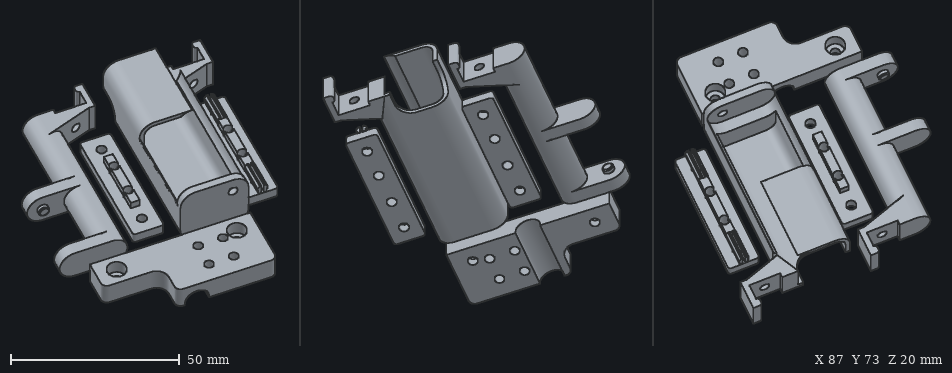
import cadquery as cq
bar_height = 10.0
round_radius = bar_height / 2
hole_diameter = 3.0
overshoot = 0.9

hook_reach = 6.0
hook_rise = 12.0
finger_thickness = 2.0
lobe_width = 2.5
lobe_depth = 1.0
web_offset = 1.5
web_far_side = 3.6
root_length = 8.5

housing_x = hook_reach
housing_y = 39.0
housing_length = 57.4
housing_width = 22.0
housing_height = 2 * bar_height
wall = 1.5
corner_inner_radius = round_radius - wall
lid_length = 27.0
cavity_length = 51.15
end_plate_thickness = 2.4
facet_far_depth = 1.65
facet_near_depth = 5.2
notch_length = 8.9
notch_far_y = 54.1
notch_radius = 5.1

lever_x = 8.1
lever_length = 55.1
ear_pivot_y = round_radius
rod_axis_y = 17.0
ear_thickness = 4.0
inner_ear_x = 35.0
outer_ear_x = 59.0
nub_diameter = 3.5
nub_length = 1.5
nub_chamfer = 0.35

strip_length = 40.0
strip_width = 10.0
strip_thickness = 3.5
strip_corner_radius = 1.0
strip_center_x = 38.0
plain_strip_y = 31.1
strip_hole_diameter = 3.05
key_length = 20.0
key_width = 2.9
key_height = 2.4
key_hole_offset = 5.2
key_hole_shift = 0.3
end_hole_offset = 15.0
snap_length = 9.75
snap_slit = 0.9
snap_stem_width = 2.7
snap_barb_width = 3.2
snap_tip_width = 1.7
snap_stem_height = 1.1
snap_barb_height = 1.1
snap_taper_height = 0.8

plate_x = 67.0
plate_y = 8.1
plate_width = 20.0
plate_length = 51.9
plate_thickness = 7.5
plate_arm_width = 10.0
plate_wide_length = 32.45
plate_corner_radius = 2.0
plate_inner_radius = 4.0
arch_radius = 3.9
arch_axis_z = 0.6
screw_edge_x = 5.0
screw_edge_y = 6.5
counterbore_diameter = 6.0
counterbore_depth = 4.5
grid_edge_x = 6.0
grid_edge_y = 11.5
grid_pitch = 8.0

housing_far_y = housing_y + housing_width
near_corner_y = housing_y + round_radius
hinge_y = housing_far_y - round_radius
hinge_z = housing_height - round_radius
lever_shoulder_y = rod_axis_y + round_radius
snap_strip_y = housing_far_y + hook_rise - strip_width / 2


def yz_plane(x):
    """Sketch plane across X, whose local axes are Y and Z."""
    return cq.Workplane("YZ", origin=(x, 0, 0))


def hook(root_x, shoulder_y, root_end, height=bar_height):
    """Finger, web and root; `root_end` closes the root, given from the root face and the shoulder."""
    finger_inside = hook_rise - finger_thickness
    outline = (
        cq.Workplane("XY", origin=(root_x, shoulder_y, 0))
        .moveTo(0, 0)
        .lineTo(web_offset, 0)
        .lineTo(web_offset, finger_inside)
        .lineTo(lobe_width - hook_reach, finger_inside)
        .radiusArc((lobe_width - lobe_depth - hook_reach, finger_inside - lobe_depth), lobe_depth)
        .lineTo(lobe_depth - hook_reach, finger_inside - lobe_depth)
        .radiusArc((-hook_reach, finger_inside), lobe_depth)
        .lineTo(-hook_reach, hook_rise)
        .lineTo(web_far_side, hook_rise)
        .lineTo(web_far_side, finger_inside)
    )
    for point in root_end:
        outline = outline.lineTo(*point)
    return outline.close().extrude(height)


def hook_hole(root_x, shoulder_y):
    """Cutter for the hole along X through the web and the slanted root."""
    return (
        yz_plane(root_x)
        .center(shoulder_y + round_radius, bar_height / 2)
        .circle(hole_diameter / 2)
        .extrude(root_length)
    )


def rounded_bar(x, length, inset, radius):
    """Housing cross-section, inset all round, with rounded long edges."""
    return (
        yz_plane(x)
        .center(housing_y + housing_width / 2, housing_height / 2)
        .rect(housing_width - 2 * inset, housing_height - 2 * inset)
        .extrude(length)
        .edges("|X")
        .fillet(radius)
    )


def hinge_groove():
    """Cutter for the round groove beside the lid, open at the top and the far side."""
    return (
        yz_plane(housing_x - overshoot)
        .moveTo(hinge_y, housing_height)
        .threePointArc((hinge_y - round_radius, hinge_z), (hinge_y, hinge_z - round_radius))
        .threePointArc(
            (hinge_y + round_radius * 0.5 ** 0.5, hinge_z - round_radius * 0.5 ** 0.5),
            (housing_far_y, hinge_z),
        )
        .lineTo(housing_far_y, housing_height + overshoot)
        .lineTo(hinge_y, housing_height + overshoot)
        .close()
        .extrude(lid_length + overshoot)
    )


def ear_opening():
    """Cutter for the open top between the lid and the end plate, with two rounded sides."""
    diagonal = round_radius * 0.5 ** 0.5
    return (
        yz_plane(housing_x + lid_length)
        .moveTo(housing_y, housing_height + overshoot)
        .lineTo(housing_y, hinge_z)
        .threePointArc(
            (near_corner_y - diagonal, hinge_z - diagonal), (near_corner_y, hinge_z - round_radius)
        )
        .lineTo(hinge_y, hinge_z - round_radius)
        .threePointArc((hinge_y + diagonal, hinge_z - diagonal), (housing_far_y, hinge_z))
        .lineTo(housing_far_y, housing_height + overshoot)
        .close()
        .extrude(housing_length - lid_length - end_plate_thickness)
    )


def make_housing():
    cavity = rounded_bar(housing_x - overshoot, cavity_length + overshoot, wall, corner_inner_radius)
    hinge_hole = (
        yz_plane(housing_x + housing_length - end_plate_thickness - overshoot)
        .center(hinge_y, hinge_z)
        .circle(hole_diameter / 2)
        .extrude(end_plate_thickness + 2 * overshoot)
    )
    width = notch_far_y - housing_y + overshoot
    notch = (
        cq.Workplane("XY", origin=(housing_x - overshoot, housing_y - overshoot, -overshoot))
        .box(notch_length + overshoot, width, bar_height + overshoot, centered=False)
        .edges(">X and (>Y or >Z)")
        .fillet(notch_radius)
    )
    slant = (root_length - web_far_side) / (hook_rise - finger_thickness + round_radius)
    facet_x = web_far_side + slant * (hook_rise - finger_thickness + facet_far_depth)
    root_end = [(facet_x, -facet_far_depth), (0, -facet_near_depth)]
    return (
        rounded_bar(housing_x, housing_length, 0, round_radius)
        .cut(cavity)
        .cut(ear_opening())
        .cut(hinge_groove())
        .cut(hinge_hole)
        .cut(notch)
        .cut(hook(housing_x, housing_far_y, root_end, hinge_z))
        .union(hook(housing_x, housing_far_y, root_end))
        .cut(hook_hole(housing_x, housing_far_y))
    )


def ear(x, thickness):
    """Flat arm from the rod axis to a round end at the pivot."""
    return (
        yz_plane(x)
        .moveTo(rod_axis_y, 0)
        .lineTo(rod_axis_y, bar_height)
        .lineTo(ear_pivot_y, bar_height)
        .threePointArc((ear_pivot_y - round_radius, bar_height / 2), (ear_pivot_y, 0))
        .close()
        .extrude(thickness)
    )


def nub(x, direction):
    """Hinge nub standing on an ear, pointing along +X or -X."""
    tip = ">X" if direction > 0 else "<X"
    return (
        yz_plane(x)
        .center(ear_pivot_y, bar_height / 2)
        .circle(nub_diameter / 2)
        .extrude(direction * nub_length)
        .faces(tip)
        .chamfer(nub_chamfer)
    )


def make_lever():
    rod = yz_plane(lever_x).center(rod_axis_y, bar_height / 2).circle(round_radius).extrude(lever_length)
    root_end = [(root_length, -round_radius), (0, -round_radius)]
    return (
        rod.union(hook(lever_x, lever_shoulder_y, root_end))
        .union(ear(inner_ear_x, ear_thickness))
        .union(ear(outer_ear_x, lever_x + lever_length - outer_ear_x))
        .union(nub(inner_ear_x + ear_thickness, 1))
        .union(nub(outer_ear_x, -1))
        .cut(hook_hole(lever_x, lever_shoulder_y))
    )


def make_strip(center_y):
    """Flat strip with a raised key along the middle and four holes through both."""
    hole_offsets = [
        -end_hole_offset,
        -key_hole_offset - key_hole_shift,
        key_hole_offset - key_hole_shift,
        end_hole_offset,
    ]
    key = cq.Workplane("XY").box(
        key_length, key_width, strip_thickness + key_height, centered=(True, True, False)
    )
    holes = (
        cq.Workplane("XY")
        .pushPoints([(offset, 0) for offset in hole_offsets])
        .circle(strip_hole_diameter / 2)
        .extrude(strip_thickness + key_height)
    )
    return (
        cq.Workplane("XY")
        .box(strip_length, strip_width, strip_thickness, centered=(True, True, False))
        .edges("|Z")
        .fillet(strip_corner_radius)
        .union(key)
        .cut(holes)
        .translate((strip_center_x, center_y, 0))
    )


def snap_leg(center_x, center_y, side):
    """One leg of a barbed snap, on the +Y or -Y side of its slit."""
    barb_z = snap_stem_height
    taper_z = barb_z + snap_barb_height
    tip_z = taper_z + snap_taper_height
    outline = [
        (snap_slit / 2, 0),
        (snap_stem_width / 2, 0),
        (snap_stem_width / 2, barb_z),
        (snap_barb_width / 2, barb_z),
        (snap_barb_width / 2, taper_z),
        (snap_tip_width / 2, tip_z),
        (snap_slit / 2, tip_z),
    ]
    return (
        cq.Workplane("YZ", origin=(center_x - snap_length / 2, center_y, strip_thickness))
        .polyline([(side * y, z) for y, z in outline])
        .close()
        .extrude(snap_length)
    )


def make_snap_strip():
    strip = make_strip(snap_strip_y)
    for end in (-1, 1):
        for side in (-1, 1):
            strip = strip.union(snap_leg(strip_center_x + end * end_hole_offset, snap_strip_y, side))
    return strip


def make_plate():
    """L-shaped plate with two counterbored holes, a square of four holes and an arch below."""
    step_y = plate_length - plate_wide_length
    blank = (
        cq.Workplane("XY")
        .polyline([
            (0, 0),
            (plate_arm_width, 0),
            (plate_arm_width, step_y),
            (plate_width, step_y),
            (plate_width, plate_length),
            (0, plate_length),
        ])
        .close()
        .extrude(plate_thickness)
    )
    inner_edge = cq.selectors.NearestToPointSelector((plate_arm_width, step_y, plate_thickness / 2))
    blank = blank.edges("|Z").edges(inner_edge).fillet(plate_inner_radius)
    blank = blank.edges("|Z and (>X or (<Y and (not <X)))").fillet(plate_corner_radius)
    grid = [
        (grid_edge_x + column * grid_pitch, plate_length - grid_edge_y - row * grid_pitch)
        for column in range(2)
        for row in range(2)
    ]
    arch = (
        yz_plane(0)
        .moveTo(plate_length / 2 - arch_radius, 0)
        .lineTo(plate_length / 2 - arch_radius, arch_axis_z)
        .threePointArc(
            (plate_length / 2, arch_axis_z + arch_radius), (plate_length / 2 + arch_radius, arch_axis_z)
        )
        .lineTo(plate_length / 2 + arch_radius, 0)
        .close()
        .extrude(plate_width)
    )
    return (
        blank.faces(">Z")
        .workplane(origin=(0, 0, plate_thickness))
        .pushPoints([(screw_edge_x, screw_edge_y), (screw_edge_x, plate_length - screw_edge_y)])
        .cboreHole(hole_diameter, counterbore_diameter, counterbore_depth)
        .faces(">Z")
        .workplane(origin=(0, 0, plate_thickness))
        .pushPoints(grid)
        .hole(hole_diameter)
        .cut(arch)
        .translate((plate_x, plate_y, 0))
    )


housing = make_housing()
lever = make_lever()
snap_strip = make_snap_strip()
plain_strip = make_strip(plain_strip_y)
plate = make_plate()

result = cq.Compound.makeCompound(
    [housing.val(), lever.val(), snap_strip.val(), plain_strip.val(), plate.val()]
)